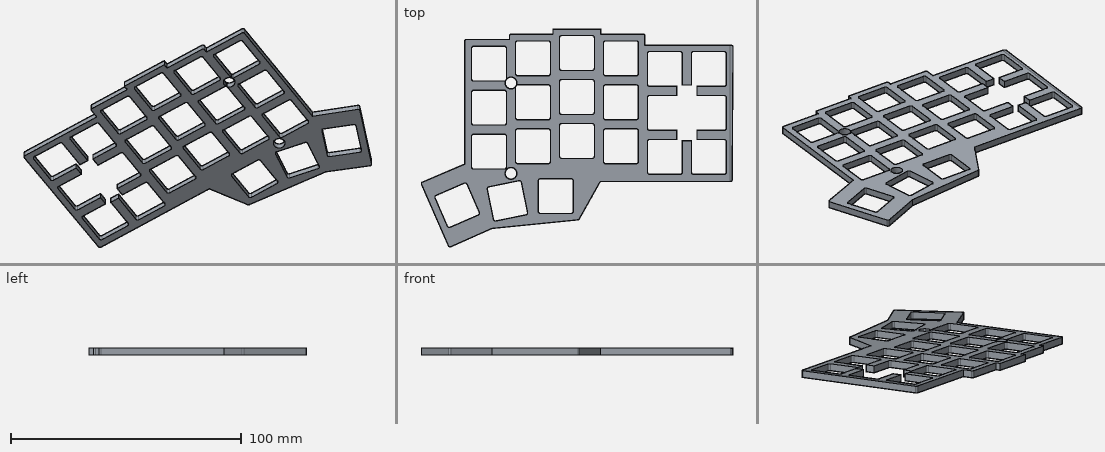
import cadquery as cq

thickness = 3.1
length = 135.2
depth = 94.5
corner_radius = 0.8
edge_lean = 0.4
bevel_width = 1.5
bevel_drop = 0.1

pitch = 19.0
opening_size = 15.0
opening_radius = 0.8
first_column_x = 29.3
row_count = 3
top_row_heights = [79.5, 81.8, 84.0, 81.8, 77.2, 77.2]

thumb_openings = [
    (15.5, 18.1, 23.5),
    (37.3, 20.0, 11.5),
    (58.2, 22.0, 0),
]

hole_diameter = 5.0
hole_x = first_column_x + pitch / 2
hole_heights = [31.9, 71.1]

clearing_width = 8.6
clearing_height = 24.0

left_edge = 18.8
right_block_bottom = 28.4
first_top = 90.0
side_top = 92.3
last_top = 87.5
middle_left = 57.0
middle_right = 77.8
side_left = 38.1
side_right = 96.9

thumb_left = (-0.3, 27.8)
thumb_tip = (12.0, -0.3)
thumb_bend = (30.5, 8.0)
thumb_right = (68.3, 11.8)
thumb_shoulder = (77.6, right_block_bottom)
thumb_root = (left_edge, 36.0)


def make_plate():
    outline = [
        thumb_root,
        (left_edge, first_top),
        (side_left, first_top),
        (side_left, side_top),
        (middle_left, side_top),
        (middle_left, depth),
        (middle_right, depth),
        (middle_right, side_top),
        (side_right, side_top),
        (side_right, last_top),
        (length, last_top),
        (length - edge_lean, right_block_bottom),
        thumb_shoulder,
        thumb_right,
        thumb_bend,
        thumb_tip,
        thumb_left,
    ]
    rounded_corners = [
        (left_edge, first_top),
        (side_left, side_top),
        (side_right, side_top),
        (length, last_top),
        (length - edge_lean, right_block_bottom),
        thumb_right,
        thumb_tip,
        thumb_left,
    ]
    plate = cq.Workplane("XY").polyline(outline).close().extrude(thickness)
    for x, y in rounded_corners:
        corner = cq.selectors.NearestToPointSelector((x, y, thickness / 2))
        plate = plate.edges("|Z").edges(corner).fillet(corner_radius)
    return plate


def make_opening(x, y, angle=0):
    opening = cq.Workplane("XY").rect(opening_size, opening_size).extrude(thickness)
    opening = opening.edges("|Z").fillet(opening_radius)
    return opening.rotate((0, 0, 0), (0, 0, 1), angle).translate((x, y, 0))


def make_bevel():
    profile = [
        (length - bevel_width, thickness),
        (length, thickness),
        (length, thickness - bevel_drop),
    ]
    bevel = cq.Workplane("XZ").polyline(profile).close().extrude(right_block_bottom - last_top)
    return bevel.translate((0, right_block_bottom, 0))


result = make_plate().cut(make_bevel())

for column, top_row_y in enumerate(top_row_heights):
    for row in range(row_count):
        x = first_column_x + column * pitch
        result = result.cut(make_opening(x, top_row_y - row * pitch))

for x, y, angle in thumb_openings:
    result = result.cut(make_opening(x, y, angle))

for y in hole_heights:
    hole = cq.Workplane("XY").center(hole_x, y).circle(hole_diameter / 2).extrude(thickness)
    result = result.cut(hole)

last_column = len(top_row_heights) - 1
clearing_x = first_column_x + (last_column - 0.5) * pitch
clearing_y = top_row_heights[last_column] - pitch
clearing = (
    cq.Workplane("XY")
    .center(clearing_x, clearing_y)
    .rect(clearing_width, clearing_height)
    .extrude(thickness)
)
result = result.cut(clearing)